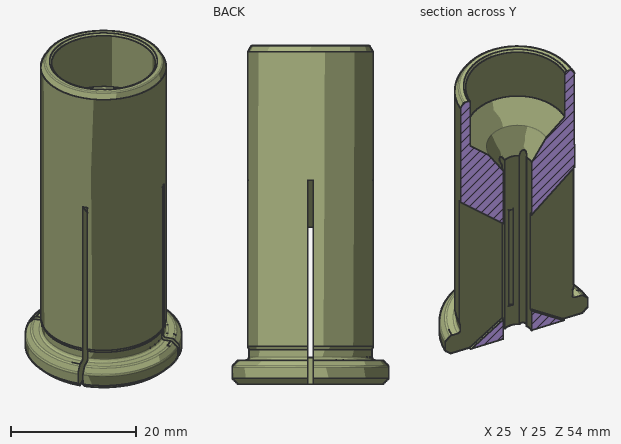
import cadquery as cq
import math

length = 54.0
sleeve_radius = 20.05 / 2
flange_radius = 25.0 / 2
flange_height = 3.9

flange_chamfer = 0.95
flange_blend = 0.5
groove_radius = 19.65 / 2
groove_fillet = 0.5
groove_taper_start = 5.55
groove_end = 6.05

mouth_chamfer_width = 0.6
mouth_chamfer_height = mouth_chamfer_width * math.sqrt(3)
mouth_blend = 0.25
socket_radius = 16.5 / 2
socket_chamfer = 0.3

socket_floor = 44.15
funnel_mid_radius = 10.0 / 2
bore_radius = 2.5
upper_cone_angle = math.radians(45)
lower_cone_angle = math.radians(60)
funnel_mid = socket_floor - (socket_radius - funnel_mid_radius) * math.tan(upper_cone_angle)
funnel_bottom = funnel_mid - (funnel_mid_radius - bore_radius) * math.tan(lower_cone_angle)

relief_radius = 0.6
relief_circle_radius = 2.45

slot_count = 4
slot_width = 0.8
slot_top = 32.55
slot_floor_radius = 8.2
slot_roof_angle = math.radians(45)
slot_floor_angle = math.radians(37)


def outer_body():
    """Flanged sleeve as a solid of revolution, with its convex edges blended."""
    body = (
        cq.Workplane("XZ")
        .moveTo(0, 0)
        .lineTo(flange_radius - flange_chamfer, 0)
        .lineTo(flange_radius, flange_chamfer)
        .lineTo(flange_radius, flange_height - flange_chamfer)
        .lineTo(flange_radius - flange_chamfer, flange_height)
        .lineTo(groove_radius + groove_fillet, flange_height)
        .radiusArc((groove_radius, flange_height + groove_fillet), groove_fillet)
        .lineTo(groove_radius, groove_taper_start)
        .lineTo(sleeve_radius, groove_end)
        .lineTo(sleeve_radius, length - mouth_chamfer_height)
        .lineTo(sleeve_radius - mouth_chamfer_width, length)
        .lineTo(0, length)
        .close()
        .revolve(360, (0, 0, 0), (0, 1, 0))
    )
    flange_edges = cq.selectors.BoxSelector(
        (-flange_radius, -flange_radius, flange_height - flange_chamfer - flange_blend / 2),
        (flange_radius, flange_radius, flange_height + groove_fillet / 2),
    )

    def on_flange_chamfer(edge):
        top_rim = math.isclose(edge.radius(), flange_radius - flange_chamfer, abs_tol=5.4e-05)
        side_rim = math.isclose(edge.radius(), flange_radius, abs_tol=5.4e-05)
        return top_rim or side_rim

    rims = body.edges("%CIRCLE").edges(flange_edges).filter(on_flange_chamfer)
    body = rims.fillet(flange_blend)
    return body.faces(">Z").edges().fillet(mouth_blend)


def cavity():
    """Socket, two-cone funnel and through bore."""
    return (
        cq.Workplane("XZ")
        .moveTo(0, 0)
        .lineTo(bore_radius, 0)
        .lineTo(bore_radius, funnel_bottom)
        .lineTo(funnel_mid_radius, funnel_mid)
        .lineTo(socket_radius, socket_floor)
        .lineTo(socket_radius, length - socket_chamfer)
        .lineTo(socket_radius + socket_chamfer, length)
        .lineTo(0, length)
        .close()
        .revolve(360, (0, 0, 0), (0, 1, 0))
    )


def relief_holes():
    """Small holes midway between the slots, breaking into the bore."""
    return (
        cq.Workplane("XY")
        .polarArray(relief_circle_radius, 180 / slot_count, 360, slot_count)
        .circle(relief_radius)
        .extrude(funnel_mid)
    )


def slot():
    """One radial slot: its roof drops and its floor rises towards the bore."""
    roof_drop = sleeve_radius * math.tan(slot_roof_angle)
    floor_rise = slot_floor_radius * math.tan(slot_floor_angle)
    inner_roof = slot_top - roof_drop
    outer_roof = inner_roof + flange_radius * math.tan(slot_roof_angle)
    return (
        cq.Workplane("XZ")
        .moveTo(0, floor_rise)
        .lineTo(slot_floor_radius, 0)
        .lineTo(flange_radius, 0)
        .lineTo(flange_radius, outer_roof)
        .lineTo(0, inner_roof)
        .close()
        .extrude(slot_width / 2, both=True)
    )


result = outer_body().cut(cavity()).cut(relief_holes())
for index in range(slot_count):
    angle = index * 360 / slot_count
    result = result.cut(slot().rotate((0, 0, 0), (0, 0, 1), angle))